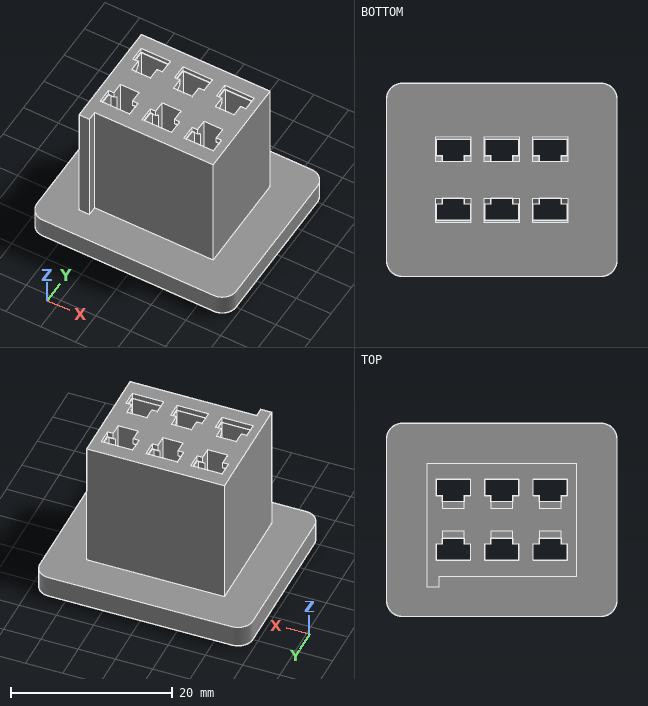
import cadquery as cq

flange_length = 28.6
flange_width = 24.0
flange_thickness = 3.0
flange_corner_radius = 2.0

total_height = 21.0
block_length = 18.5
block_width = 14.0

key_length = 1.5
key_projection = 1.3

cavities_per_row = 3
cavity_pitch = 6.0
mouth_length = 4.2
passage_length = 4.4
latch_slot_length = 2.7

latch_slot_inner = 1.4
passage_inner = 2.3
mouth_inner = 3.0
mouth_outer = 5.0
passage_outer = 5.3

lip_thickness = 0.8
lip_underside = total_height - lip_thickness


def box_between(x_center, x_length, y_range, z_range):
    """Box centred on x_center, spanning the given Y and Z ranges."""
    y_start, y_end = y_range
    z_start, z_end = z_range
    return (
        cq.Workplane("XY")
        .box(x_length, y_end - y_start, z_end - z_start, centered=(True, False, False))
        .translate((x_center, y_start, z_start))
    )


def terminal_cavity(x_center):
    """One cavity of the rear row: T-shaped mouth, wider through passage and latch slot."""
    inner_slope_foot = lip_underside - (mouth_inner - passage_inner)
    outer_slope_foot = lip_underside - (passage_outer - mouth_outer)
    passage = (
        cq.Workplane("YZ", origin=(x_center, 0, 0))
        .moveTo(passage_inner, 0)
        .lineTo(passage_outer, 0)
        .lineTo(passage_outer, outer_slope_foot)
        .lineTo(mouth_outer, lip_underside)
        .lineTo(mouth_inner, lip_underside)
        .lineTo(passage_inner, inner_slope_foot)
        .close()
        .extrude(passage_length / 2, both=True)
    )
    mouth = box_between(
        x_center, mouth_length, (mouth_inner, mouth_outer), (lip_underside, total_height)
    )
    latch_slot = box_between(
        x_center, latch_slot_length, (latch_slot_inner, mouth_inner), (flange_thickness, total_height)
    )
    return passage.union(mouth).union(latch_slot)


flange = (
    cq.Workplane("XY")
    .box(flange_length, flange_width, flange_thickness, centered=(True, True, False))
    .edges("|Z")
    .fillet(flange_corner_radius)
)

block = box_between(
    0, block_length, (-block_width / 2, block_width / 2), (flange_thickness, total_height)
)

key = box_between(
    (key_length - block_length) / 2,
    key_length,
    (-block_width / 2 - key_projection, -block_width / 2),
    (flange_thickness, total_height),
)

result = flange.union(block).union(key).clean()

for column in range(cavities_per_row):
    column_x = (column - (cavities_per_row - 1) / 2) * cavity_pitch
    rear_cavity = terminal_cavity(column_x)
    front_cavity = rear_cavity.mirror("XZ")
    result = result.cut(rear_cavity).cut(front_cavity)